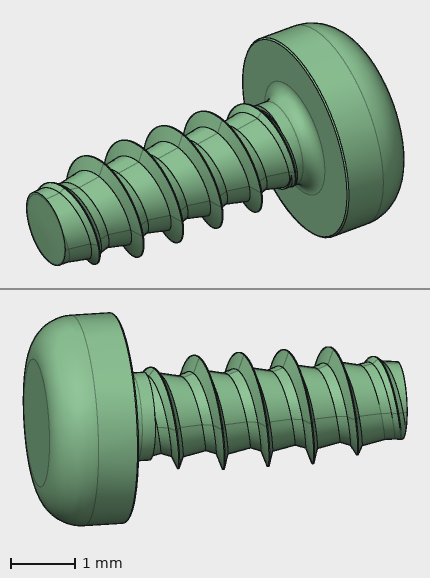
import cadquery as cq
import math

total_length = 5.8
head_radius = 1.65
head_height = 1.295
dome_radius = 0.65
rim_chamfer = 0.025

neck_radius = 0.69
neck_end = 0.46
neck_fillet = 0.25
core_radius = 0.6
tip_cone_radius = 0.58
tip_cone_height = 0.02
shank_length = total_length - head_height - tip_cone_height

pitch = 0.715
first_crest = 0.41
crest_radius = 0.905
crest_width = 0.02
neck_crest_radius = 0.68
faded_radius = 0.6005
shoulder_radius = 0.67
shoulder_offset = 0.085
bend_radius = 0.655
bend_offset = -0.1
root_offset = -0.26

start_turn = -1.0
rise_start = -0.25
rise_end = 1.0
crest_fade_start = 4.25
flank_fade_start = 4.75
fade_end = 5.75
end_turn = 7.0
patches_per_turn = 4
spans_per_patch = 6


def make_head():
    """Revolve the domed head, and filleted neck, with the shank toward +Z."""
    dome_start = head_height - dome_radius
    diagonal = dome_radius * math.sqrt(0.5)
    fillet_diagonal = neck_fillet * (1 - math.sqrt(0.5))
    profile = (
        cq.Workplane("XZ")
        .moveTo(0, -head_height)
        .lineTo(head_radius - dome_radius, -head_height)
        .threePointArc(
            (head_radius - dome_radius + diagonal, -dome_start - diagonal),
            (head_radius, -dome_start),
        )
        .lineTo(head_radius, -rim_chamfer)
        .lineTo(head_radius - rim_chamfer, 0)
        .lineTo(neck_radius + neck_fillet, 0)
        .threePointArc(
            (neck_radius + fillet_diagonal, fillet_diagonal),
            (neck_radius, neck_fillet),
        )
        .lineTo(neck_radius, neck_end)
        .lineTo(0, neck_end)
        .close()
    )
    return profile.revolve(360, (0, 0, 0), (0, 1, 0))


def progress(turn, start, end):
    """Fraction of the way from start to end, limited to 0 and 1."""
    return min(max((turn - start) / (end - start), 0), 1)


def crest_radius_at(turn):
    """Crest radius, growing out of the neck and fading into the core at the tip."""
    rise = progress(turn, rise_start, rise_end)
    fade = progress(turn, crest_fade_start, fade_end)
    risen_radius = neck_crest_radius + rise * (crest_radius - neck_crest_radius)
    return risen_radius + fade * (faded_radius - crest_radius)


def flank_radius_at(turn, full_radius):
    """Radius of a flank corner, fading into the core at the tip."""
    fade = progress(turn, flank_fade_start, fade_end)
    return full_radius + fade * (core_radius - full_radius)


def thread_section(turn):
    """Axial offsets and radii of one pitch, from the root ahead of the crest to the root behind it."""
    crest = crest_radius_at(turn)
    return [
        (root_offset, core_radius),
        (bend_offset, flank_radius_at(turn, bend_radius)),
        (-crest_width / 2, crest),
        (crest_width / 2, crest),
        (shoulder_offset, flank_radius_at(turn, shoulder_radius)),
        (root_offset + pitch, core_radius),
    ]


def section_points(turn):
    """Corners of the thread section placed at its angle and height around the axis."""
    angle = 2 * math.pi * turn
    height = first_crest + pitch * turn
    return [
        cq.Vector(radius * math.cos(angle), radius * math.sin(angle), height + offset)
        for offset, radius in thread_section(turn)
    ]


def helix_edges(patch_start):
    """Helical edges through every section corner over one patch of thread."""
    step = 1 / (patches_per_turn * spans_per_patch)
    sections = [section_points(patch_start + i * step) for i in range(spans_per_patch + 1)]
    return [cq.Edge.makeSpline(list(points)) for points in zip(*sections)]


def helicoid_face(root_edge):
    """Face closing the rod between a root edge and the axis."""
    axis_start = cq.Vector(0, 0, root_edge.startPoint().z)
    axis_end = cq.Vector(0, 0, root_edge.endPoint().z)
    return cq.Face.makeRuledSurface(root_edge, cq.Edge.makeLine(axis_start, axis_end))


def end_face(turn):
    """Flat face joining one thread section to the axis."""
    corners = section_points(turn)
    axis_points = [cq.Vector(0, 0, corners[-1].z), cq.Vector(0, 0, corners[0].z)]
    return cq.Face.makeFromWires(cq.Wire.makePolygon(corners + axis_points, close=True))


def make_threaded_rod():
    """Right-hand threaded rod whose shoulder behind each crest tapers to the root of the next turn."""
    faces = [end_face(start_turn), end_face(end_turn)]
    patch_count = round((end_turn - start_turn) * patches_per_turn)
    for patch in range(patch_count):
        edges = helix_edges(start_turn + patch / patches_per_turn)
        faces += [cq.Face.makeRuledSurface(a, b) for a, b in zip(edges, edges[1:])]
        if patch < patches_per_turn:
            faces.append(helicoid_face(edges[0]))
        if patch >= patch_count - patches_per_turn:
            faces.append(helicoid_face(edges[-1]))
    rod = cq.Solid.makeSolid(cq.Shell.makeShell(faces))
    return cq.Workplane(obj=rod.fix())


def make_tip_cone():
    """Very shallow cone on the end of the shank."""
    return cq.Workplane(
        obj=cq.Solid.makeCone(
            tip_cone_radius, 0, tip_cone_height, cq.Vector(0, 0, shank_length)
        )
    )


def make_screw():
    """Trim the rod to the shank, add head and tip, and point the tip toward -Y."""
    trim = cq.Workplane("XY").workplane(offset=-head_height / 2).circle(head_radius)
    shank = make_threaded_rod().intersect(trim.extrude(shank_length + head_height / 2))
    screw = make_head().union(shank).union(make_tip_cone())
    return screw.rotate((0, 0, 0), (1, 0, 0), 90)


result = make_screw()